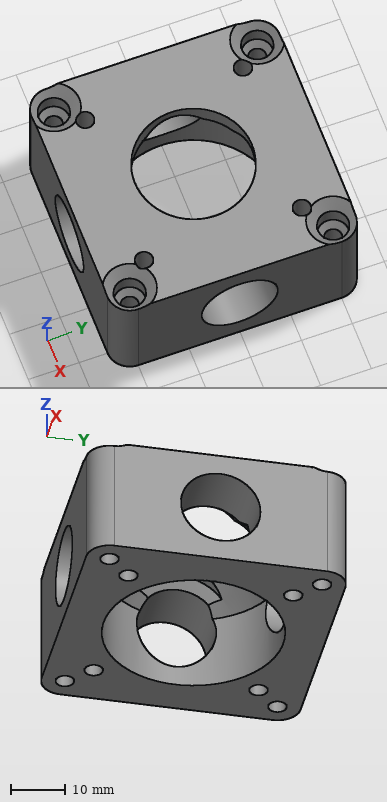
import cadquery as cq

side = 48.8
height = 23.1
corner_radius = 4.4

bore_diameter = 23.0
cavity_diameter = 33.8
ceiling_thickness = 3.9
ceiling_cone_height = 4.5

cross_hole_diameter = 15.0
inner_cross_diameter = 18.95
inner_cross_reach = 13.65
inner_cone_length = 1.7

screw_offset = side / 2 - corner_radius
screw_diameter = 3.4
seat_diameter = 6.0
countersink_diameter = 10.05
countersink_depth = (countersink_diameter - seat_diameter) / 2
seat_depth = 5.45
seat_cone_depth = (seat_diameter - screw_diameter) / 2

pin_offset = 15.5
pin_diameter = 3.4


def square_pattern(offset):
    return [(x, y) for x in (-offset, offset) for y in (-offset, offset)]


def vertical_cylinder(diameter, bottom, top):
    return cq.Workplane("XY").workplane(offset=bottom).circle(diameter / 2).extrude(top - bottom)


def cavity():
    """Cylinder closed by a conical ceiling that narrows to the bore."""
    ceiling_top = height - ceiling_thickness
    return (
        cq.Workplane("XZ")
        .moveTo(0, 0)
        .lineTo(cavity_diameter / 2, 0)
        .lineTo(cavity_diameter / 2, ceiling_top - ceiling_cone_height)
        .lineTo(bore_diameter / 2, ceiling_top)
        .lineTo(0, ceiling_top)
        .close()
        .revolve(360, (0, 0), (0, 1))
    )


def cross_hole():
    """Stepped hole along X, revolved about its own axis."""
    outer_radius = cross_hole_diameter / 2
    inner_radius = inner_cross_diameter / 2
    cone_start = inner_cross_reach - inner_cone_length
    return (
        cq.Workplane("XY")
        .moveTo(-side / 2, 0)
        .lineTo(-side / 2, outer_radius)
        .lineTo(-inner_cross_reach, outer_radius)
        .lineTo(-cone_start, inner_radius)
        .lineTo(cone_start, inner_radius)
        .lineTo(inner_cross_reach, outer_radius)
        .lineTo(side / 2, outer_radius)
        .lineTo(side / 2, 0)
        .close()
        .revolve(360, (0, 0), (1, 0))
        .translate((0, 0, height / 2))
    )


def screw_hole():
    """Through hole, conical seat and conical mouth, revolved about Z."""
    return (
        cq.Workplane("XZ")
        .moveTo(0, 0)
        .lineTo(screw_diameter / 2, 0)
        .lineTo(screw_diameter / 2, height - seat_depth - seat_cone_depth)
        .lineTo(seat_diameter / 2, height - seat_depth)
        .lineTo(seat_diameter / 2, height - countersink_depth)
        .lineTo(countersink_diameter / 2, height)
        .lineTo(0, height)
        .close()
        .revolve(360, (0, 0), (0, 1))
    )


result = cq.Workplane("XY").box(side, side, height, centered=(True, True, False))
result = result.edges("|Z").fillet(corner_radius)

result = result.cut(vertical_cylinder(bore_diameter, 0, height))
result = result.cut(cavity())

for turn in (0, 90):
    result = result.cut(cross_hole().rotate((0, 0, 0), (0, 0, 1), turn))

for x, y in square_pattern(screw_offset):
    result = result.cut(screw_hole().translate((x, y, 0)))

for x, y in square_pattern(pin_offset):
    result = result.cut(vertical_cylinder(pin_diameter, 0, height).translate((x, y, 0)))